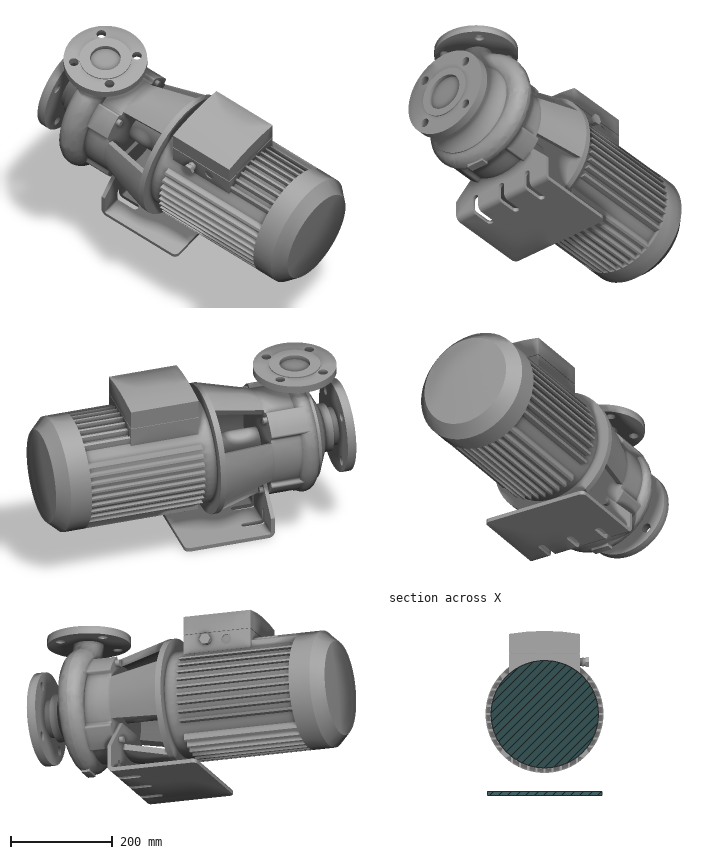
import cadquery as cq
import math


SUCTION_FACE_X = -100.0
SUCTION_FLANGE_BACK_X = -80.0
HUB_START_X = -66.0
CONE_START_X = -50.0
CONE_END_X = -25.0
CASING_RIM_X = 0.0
LANTERN_START_X = 60.7
LANTERN_PLATE_X = 78.0
LANTERN_FLANGE_X = 183.0
MOTOR_START_X = 195.0
FINS_START_X = 221.5
FINS_END_X = 456.8
COVER_TAPER_X = 500.0
COVER_RIM_X = 524.0
MOTOR_END_X = 526.5

DISCHARGE_FACE_Z = 160.0
DISCHARGE_FLANGE_BOTTOM_Z = 142.0
DISCHARGE_PIPE_D = 60.3
DISCHARGE_FLANGE_D = 165.0
DISCHARGE_RAISED_D = 102.0
DISCHARGE_BOLT_CIRCLE_D = 125.0
SUCTION_PIPE_D = 76.1
SUCTION_HUB_D = 96.1
SUCTION_FLANGE_D = 185.0
SUCTION_RAISED_D = 107.0
SUCTION_BOLT_CIRCLE_D = 145.0
RAISED_FACE_HEIGHT = 2.5
PORT_DEPTH = 9.0
FLANGE_HOLE_D = 19.0
FLANGE_HOLE_COUNT = 4
CONE_END_R = 97.0
RIM_R = 101.0
PAD_R = 111.0
PAD_WIDTH = 54.0
PAD_ROUND = 4.0

VOLUTE_R = 106.0
VOLUTE_TUBE_R = 26.0
VOLUTE_R_DROP = 8.0
VOLUTE_TUBE_DROP = 3.0
VOLUTE_TAPER_END = 180
VOLUTE_SWEEP = 270
VOLUTE_STEP = 15
OUTLET_ARC_R = 98.0
OUTLET_SECTIONS = 6
VOLUTE_PAD_BOTTOM_Z = -124.5
VOLUTE_PAD_LENGTH = 16.0
VOLUTE_PAD_WIDTH = 38.0
VOLUTE_PAD_HEIGHT = 15.0
VOLUTE_PAD_Y = -3.0

LANTERN_FLANGE_R = 131.0
LEG_START_R = 101.7
LEG_THICKNESS = 15.0
LEG_ANGLE = 50.0
LEG_COUNT = 4
SHAFT_D = 50.0

BODY_R = 106.0
COVER_R = 116.0
COVER_RIM_R = 93.7
FIN_PITCH = 16.0
FIN_THICKNESS = 4.2
FINS_PER_SIDE = 9
FIN_ROOT_R = 100.0

BOX_LENGTH = 140.0
BOX_WIDTH = 140.0
BOX_TOP_Z = 163.34
BOX_EDGE_Z = 157.4
BOX_BOTTOM_Z = 80.0
LID_Z = 119.4
LID_GROOVE = 1.5
ENTRY_Z = 102.4
GLAND_X = 271.6
ENTRY_HOLE_X = 311.0
ENTRY_HOLE_D = 20.0
ENTRY_HOLE_DEPTH = 2.0
GLAND_STEM_D = 16.0
GLAND_COLLAR_D = 18.0
GLAND_STEM_LENGTH = 11.0
GLAND_COLLAR_START = 4.0
GLAND_COLLAR_END = 7.5
GLAND_HEAD_FLATS = 20.0
GLAND_HEAD_LENGTH = 6.0

FOOT_BOTTOM_Z = -160.0
FOOT_THICKNESS = 8.0
FOOT_BEND_R = 4.0
FOOT_WIDTH = 227.0
FOOT_END_X = 262.5
FOOT_CORNER_R = 10.0
FOOT_TOP_Z = -40.0
FOOT_SHOULDER_LEFT_Z = -116.5
FOOT_SHOULDER_RIGHT_Z = -107.0
FOOT_SLOT_WIDTH = 14.0
FOOT_SLOT_PITCH = 65.0
FOOT_SLOT_TOP_Z = -122.0
FOOT_SLOT_END_X = 131.0

SCREW_Y = 61.5
SCREW_Z = 79.5
SCREW_HEAD_D = 13.0
SCREW_HEAD_LENGTH = 8.0
SCREW_SHANK_D = 9.0
SCREW_END_X = 50.0


def cylinder_x(diameter, x_start, x_end, y=0.0, z=0.0):
    """Solid cylinder parallel to X."""
    plane = cq.Plane(origin=(x_start, y, z), xDir=(0, 1, 0), normal=(1, 0, 0))
    return cq.Workplane(plane).circle(diameter / 2).extrude(x_end - x_start)


def revolve_x(outline):
    """Turn an (x, radius) outline about the shaft axis."""
    return cq.Workplane("XY").polyline(outline).close().revolve(360, (0, 0, 0), (1, 0, 0))


def box_between(x_range, y_range, z_range):
    size = [high - low for low, high in (x_range, y_range, z_range)]
    corner = (x_range[0], y_range[0], z_range[0])
    return cq.Workplane("XY").box(*size, centered=False).translate(corner)


def tube_section(tube_r, y, z, direction_y, direction_z):
    return cq.Wire.makeCircle(tube_r, cq.Vector(0, y, z), cq.Vector(0, direction_y, direction_z))


def screw_places():
    return [(y, z) for y in (-SCREW_Y, SCREW_Y) for z in (-SCREW_Z, SCREW_Z)]


def screw_holes():
    holes = cq.Workplane("XY")
    for y, z in screw_places():
        holes = holes.add(cylinder_x(SCREW_SHANK_D, SCREW_END_X, LANTERN_PLATE_X + FOOT_THICKNESS, y, z))
    return holes.combine()


def flange(face_d, outer_d, bolt_circle_d, thickness):
    """Drilled flange lying below its mating face at z = 0."""
    disc = cq.Workplane("XY").workplane(offset=-thickness).circle(outer_d / 2)
    disc = disc.extrude(thickness - RAISED_FACE_HEIGHT)
    raised = cq.Workplane("XY").circle(face_d / 2).extrude(-thickness)
    holes = (
        cq.Workplane("XY")
        .polarArray(bolt_circle_d / 2, 45, 360, FLANGE_HOLE_COUNT)
        .circle(FLANGE_HOLE_D / 2)
        .extrude(-thickness)
    )
    return disc.union(raised).cut(holes)


def volute_spiral():
    """Tapering tube from the -Y side, below the shaft and up the +Y side."""
    sections = []
    for angle in range(0, VOLUTE_SWEEP + 1, VOLUTE_STEP):
        turns = min(angle, VOLUTE_TAPER_END) / 90
        radius = VOLUTE_R - VOLUTE_R_DROP * turns
        tube_r = VOLUTE_TUBE_R - VOLUTE_TUBE_DROP * turns
        cosine = math.cos(math.radians(angle))
        sine = math.sin(math.radians(angle))
        sections.append(tube_section(tube_r, -radius * cosine, -radius * sine, sine, -cosine))
    return cq.Workplane(cq.Solid.makeLoft(sections))


def volute_outlet():
    """S-shaped tube: an arc up from the -Y side, then a tangent counter-arc that ends upright on Z."""
    arc_center_y = OUTLET_ARC_R - VOLUTE_R
    counter_r = (DISCHARGE_FACE_Z**2 + arc_center_y**2 - OUTLET_ARC_R**2) / (2 * VOLUTE_R)
    joint = math.atan2(DISCHARGE_FACE_Z, counter_r + arc_center_y)
    sections = []
    for step in range(OUTLET_SECTIONS + 1):
        angle = joint * step / OUTLET_SECTIONS
        y = arc_center_y - OUTLET_ARC_R * math.cos(angle)
        z = OUTLET_ARC_R * math.sin(angle)
        tube_r = VOLUTE_TUBE_R + (DISCHARGE_PIPE_D / 2 - VOLUTE_TUBE_R) * step / OUTLET_SECTIONS
        sections.append(tube_section(tube_r, y, z, math.sin(angle), math.cos(angle)))
    for step in range(1, OUTLET_SECTIONS + 1):
        angle = joint * (1 - step / OUTLET_SECTIONS)
        y = -counter_r + counter_r * math.cos(angle)
        z = DISCHARGE_FACE_Z - counter_r * math.sin(angle)
        sections.append(tube_section(DISCHARGE_PIPE_D / 2, y, z, math.sin(angle), math.cos(angle)))
    return cq.Workplane(cq.Solid.makeLoft(sections))


def padded_rim(x_start, x_end):
    """Round rim with four raised screw pads on the diagonals."""
    length = x_end - x_start
    rim = cylinder_x(2 * RIM_R, x_start, x_end)
    bars = cq.Workplane("YZ").rect(2 * PAD_R, PAD_WIDTH).extrude(length)
    bars = bars.union(cq.Workplane("YZ").rect(PAD_WIDTH, 2 * PAD_R).extrude(length))
    bars = bars.rotate((0, 0, 0), (1, 0, 0), 45).translate((x_start, 0, 0))
    pads = bars.intersect(cylinder_x(2 * PAD_R, x_start, x_end))
    corners = cq.selectors.BoxSelector((x_start, -RIM_R, -RIM_R), (x_end, RIM_R, RIM_R))
    return rim.union(pads).edges("|X").edges(corners).fillet(PAD_ROUND)


def make_casing():
    core = revolve_x([
        (SUCTION_FACE_X, 0),
        (SUCTION_FACE_X, SUCTION_PIPE_D / 2),
        (HUB_START_X, SUCTION_PIPE_D / 2),
        (HUB_START_X, SUCTION_HUB_D / 2),
        (CONE_START_X, SUCTION_HUB_D / 2),
        (CONE_END_X, CONE_END_R),
        (CASING_RIM_X, CONE_END_R),
        (CASING_RIM_X, 0),
    ])
    suction = flange(
        SUCTION_RAISED_D, SUCTION_FLANGE_D, SUCTION_BOLT_CIRCLE_D, SUCTION_FLANGE_BACK_X - SUCTION_FACE_X
    )
    suction = suction.rotate((0, 0, 0), (0, 1, 0), -90).translate((SUCTION_FACE_X, 0, 0))
    discharge = flange(
        DISCHARGE_RAISED_D,
        DISCHARGE_FLANGE_D,
        DISCHARGE_BOLT_CIRCLE_D,
        DISCHARGE_FACE_Z - DISCHARGE_FLANGE_BOTTOM_Z,
    ).translate((0, 0, DISCHARGE_FACE_Z))
    volute_pad = cq.Workplane("XY").box(VOLUTE_PAD_LENGTH, VOLUTE_PAD_WIDTH, VOLUTE_PAD_HEIGHT)
    volute_pad = volute_pad.translate((0, VOLUTE_PAD_Y, VOLUTE_PAD_BOTTOM_Z + VOLUTE_PAD_HEIGHT / 2))
    casing = core.union(padded_rim(CASING_RIM_X, LANTERN_START_X))
    casing = casing.union(volute_spiral()).union(volute_outlet()).union(volute_pad)
    casing = casing.union(suction).union(discharge)
    suction_port = cylinder_x(SUCTION_PIPE_D, SUCTION_FACE_X, SUCTION_FACE_X + PORT_DEPTH)
    discharge_port = (
        cq.Workplane("XY")
        .workplane(offset=DISCHARGE_FACE_Z - PORT_DEPTH)
        .circle(DISCHARGE_PIPE_D / 2)
        .extrude(PORT_DEPTH)
    )
    return casing.cut(suction_port).cut(discharge_port).cut(screw_holes())


def lantern_leg():
    """Segment of a conical shell, centred on +Z."""
    half = LEG_ANGLE / 2
    return (
        cq.Workplane("XZ")
        .polyline([
            (LANTERN_PLATE_X, LEG_START_R - LEG_THICKNESS),
            (LANTERN_PLATE_X, LEG_START_R),
            (LANTERN_FLANGE_X, LANTERN_FLANGE_R),
            (LANTERN_FLANGE_X, LANTERN_FLANGE_R - LEG_THICKNESS),
        ])
        .close()
        .revolve(LEG_ANGLE, (0, 0, 0), (1, 0, 0))
        .rotate((0, 0, 0), (1, 0, 0), -half)
    )


def make_lantern():
    lantern = padded_rim(LANTERN_START_X, LANTERN_PLATE_X)
    lantern = lantern.union(cylinder_x(2 * LANTERN_FLANGE_R, LANTERN_FLANGE_X, MOTOR_START_X))
    lantern = lantern.union(cylinder_x(SHAFT_D, LANTERN_PLATE_X, LANTERN_FLANGE_X))
    leg = lantern_leg()
    for index in range(LEG_COUNT):
        lantern = lantern.union(leg.rotate((0, 0, 0), (1, 0, 0), index * 360 / LEG_COUNT))
    return lantern.cut(screw_holes())


def motor_body():
    """Turned body and fan cover, closed by a shallow domed end."""
    crown = MOTOR_END_X - COVER_RIM_X
    dome_r = (COVER_RIM_R**2 + crown**2) / (2 * crown)
    middle_r = COVER_RIM_R / 2
    middle_x = MOTOR_END_X - dome_r + math.sqrt(dome_r**2 - middle_r**2)
    return (
        cq.Workplane("XY")
        .moveTo(MOTOR_START_X, 0)
        .lineTo(MOTOR_START_X, BODY_R)
        .lineTo(FINS_END_X, BODY_R)
        .lineTo(FINS_END_X, COVER_R)
        .lineTo(COVER_TAPER_X, COVER_R)
        .lineTo(COVER_RIM_X, COVER_RIM_R)
        .threePointArc((middle_x, middle_r), (MOTOR_END_X, 0))
        .close()
        .revolve(360, (0, 0, 0), (1, 0, 0))
    )


def cooling_fins():
    """Round core with four sets of parallel ribs, trimmed to the round outline of the fan cover."""
    bars = cylinder_x(2 * FIN_ROOT_R, FINS_START_X, FINS_END_X)
    outer_fin = FINS_PER_SIDE // 2
    for index in range(-outer_fin, outer_fin + 1):
        offset = index * FIN_PITCH
        across = (offset - FIN_THICKNESS / 2, offset + FIN_THICKNESS / 2)
        full_span = (-2 * COVER_R, 2 * COVER_R)
        bars = bars.union(box_between((FINS_START_X, FINS_END_X), across, full_span))
        bars = bars.union(box_between((FINS_START_X, FINS_END_X), full_span, across))
    return bars.intersect(cylinder_x(2 * COVER_R, FINS_START_X, FINS_END_X))


def make_motor():
    box_room = box_between(
        (FINS_START_X, FINS_START_X + BOX_LENGTH), (-BOX_WIDTH / 2, BOX_WIDTH / 2), (BOX_BOTTOM_Z, BOX_TOP_Z)
    )
    return motor_body().union(cooling_fins().cut(box_room))


def cylinder_from_side(diameter, x, start, length):
    """Cylinder on the -Y wall of the terminal box; positive distances point outward."""
    plane = cq.Plane(origin=(x, -BOX_WIDTH / 2 - start, ENTRY_Z), xDir=(1, 0, 0), normal=(0, -1, 0))
    return cq.Workplane(plane).circle(diameter / 2).extrude(length)


def cable_gland():
    collar_length = GLAND_COLLAR_END - GLAND_COLLAR_START
    stem = cylinder_from_side(GLAND_STEM_D, GLAND_X, 0, GLAND_STEM_LENGTH)
    collar = cylinder_from_side(GLAND_COLLAR_D, GLAND_X, GLAND_COLLAR_START, collar_length)
    head_y = -BOX_WIDTH / 2 - GLAND_STEM_LENGTH
    head_plane = cq.Plane(origin=(GLAND_X, head_y, ENTRY_Z), xDir=(1, 0, 0), normal=(0, -1, 0))
    across_corners = GLAND_HEAD_FLATS / math.cos(math.pi / 6)
    head = cq.Workplane(head_plane).polygon(6, across_corners).extrude(GLAND_HEAD_LENGTH)
    return stem.union(collar).union(head)


def make_terminal_box():
    half = BOX_WIDTH / 2
    box = (
        cq.Workplane("YZ")
        .workplane(offset=FINS_START_X)
        .moveTo(-half, BOX_BOTTOM_Z)
        .lineTo(-half, BOX_EDGE_Z)
        .threePointArc((0, BOX_TOP_Z), (half, BOX_EDGE_Z))
        .lineTo(half, BOX_BOTTOM_Z)
        .close()
        .extrude(BOX_LENGTH)
    )
    box = box.cut(cylinder_x(2 * BODY_R, FINS_START_X, FINS_END_X))
    lid_center = (FINS_START_X + BOX_LENGTH / 2, 0, LID_Z)
    groove = cq.Workplane("XY").box(BOX_LENGTH, BOX_WIDTH, LID_GROOVE)
    groove = groove.cut(
        cq.Workplane("XY").box(BOX_LENGTH - 2 * LID_GROOVE, BOX_WIDTH - 2 * LID_GROOVE, LID_GROOVE)
    )
    box = box.cut(groove.translate(lid_center))
    entry_hole = cylinder_from_side(ENTRY_HOLE_D, ENTRY_HOLE_X, -ENTRY_HOLE_DEPTH, ENTRY_HOLE_DEPTH)
    return box.cut(entry_hole).union(cable_gland())


def foot_angle():
    """Bent plate: upright against the lantern, base pointing under the motor."""
    height = FOOT_TOP_Z - FOOT_BOTTOM_Z
    length = FOOT_END_X - LANTERN_PLATE_X
    outline = (
        cq.Workplane("XZ")
        .workplane(offset=-FOOT_WIDTH / 2)
        .moveTo(LANTERN_PLATE_X, FOOT_BOTTOM_Z)
        .hLine(length)
        .vLine(FOOT_THICKNESS)
        .hLine(FOOT_THICKNESS - length)
        .vLine(height - FOOT_THICKNESS)
        .hLine(-FOOT_THICKNESS)
        .close()
        .extrude(FOOT_WIDTH)
    )
    inner_corner = (LANTERN_PLATE_X + FOOT_THICKNESS, 0, FOOT_BOTTOM_Z + FOOT_THICKNESS)
    outer_corner = (LANTERN_PLATE_X, 0, FOOT_BOTTOM_Z)
    outline = outline.edges(cq.selectors.NearestToPointSelector(inner_corner)).fillet(FOOT_BEND_R)
    outline = outline.edges(cq.selectors.NearestToPointSelector(outer_corner))
    outline = outline.fillet(FOOT_BEND_R + FOOT_THICKNESS)
    return outline.edges("|Z and >X").fillet(FOOT_CORNER_R)


def foot_plan():
    """Outline of the upright seen along X: shoulders that lean in at 45 degrees."""
    half = FOOT_WIDTH / 2
    left_top_y = half - (FOOT_TOP_Z - FOOT_SHOULDER_LEFT_Z)
    right_top_y = -half + (FOOT_TOP_Z - FOOT_SHOULDER_RIGHT_Z)
    return (
        cq.Workplane("YZ")
        .workplane(offset=LANTERN_PLATE_X)
        .polyline([
            (-half, FOOT_BOTTOM_Z),
            (half, FOOT_BOTTOM_Z),
            (half, FOOT_SHOULDER_LEFT_Z),
            (left_top_y, FOOT_TOP_Z),
            (right_top_y, FOOT_TOP_Z),
            (-half, FOOT_SHOULDER_RIGHT_Z),
        ])
        .close()
        .extrude(FOOT_END_X - LANTERN_PLATE_X)
    )


def foot_slot(y):
    """Slot that runs round the bend, with a round end in the upright and in the base."""
    half = FOOT_SLOT_WIDTH / 2
    top_center_z = FOOT_SLOT_TOP_Z - half
    end_center_x = FOOT_SLOT_END_X - half
    upright_x = LANTERN_PLATE_X + FOOT_THICKNESS + FOOT_BEND_R
    y_range = (y - half, y + half)
    upright = box_between((LANTERN_PLATE_X, upright_x), y_range, (FOOT_BOTTOM_Z, top_center_z))
    upright = upright.union(cylinder_x(FOOT_SLOT_WIDTH, LANTERN_PLATE_X, upright_x, y, top_center_z))
    base_top_z = FOOT_BOTTOM_Z + FOOT_THICKNESS
    base = box_between((LANTERN_PLATE_X, end_center_x), y_range, (FOOT_BOTTOM_Z, base_top_z))
    round_end = cq.Workplane("XY").workplane(offset=FOOT_BOTTOM_Z).center(end_center_x, y)
    round_end = round_end.circle(half).extrude(FOOT_THICKNESS)
    return upright.union(base).union(round_end)


def make_foot(lantern):
    foot = foot_angle().intersect(foot_plan())
    for index in (-1, 0, 1):
        foot = foot.cut(foot_slot(index * FOOT_SLOT_PITCH))
    return foot.cut(lantern).cut(screw_holes())


def make_screw(y, z):
    """Cylinder-head screw; the lower ones also clamp the foot."""
    seat_x = LANTERN_PLATE_X
    if z < 0:
        seat_x += FOOT_THICKNESS
    shank = cylinder_x(SCREW_SHANK_D, SCREW_END_X, seat_x, y, z)
    return shank.union(cylinder_x(SCREW_HEAD_D, seat_x, seat_x + SCREW_HEAD_LENGTH, y, z))


casing = make_casing()
lantern = make_lantern()
motor = make_motor()
terminal_box = make_terminal_box()
foot = make_foot(lantern)
screws = [make_screw(y, z) for y, z in screw_places()]

result = cq.Compound.makeCompound([
    casing.val(),
    lantern.val(),
    motor.val(),
    terminal_box.val(),
    foot.val(),
    *[screw.val() for screw in screws],
])